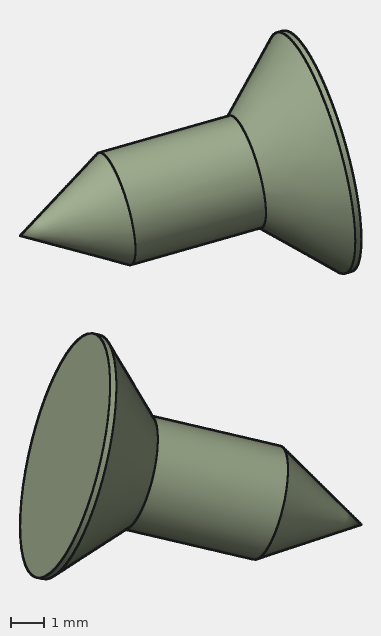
import cadquery as cq
import math


head_diameter = 7.5
shank_diameter = 3.5
overall_length = 9.5
head_height = 2.3
rim_thickness = 0.2
point_angle = 60.0

head_radius = head_diameter / 2
shank_radius = shank_diameter / 2
point_length = shank_radius / math.tan(math.radians(point_angle / 2))


def half_profile():
    """Closed half section in the XY plane, with one edge on the Y axis."""
    return (
        cq.Workplane("XY")
        .moveTo(0, 0)
        .lineTo(head_radius, 0)
        .lineTo(head_radius, -rim_thickness)
        .lineTo(shank_radius, -head_height)
        .lineTo(shank_radius, point_length - overall_length)
        .lineTo(0, -overall_length)
        .close()
    )


result = half_profile().revolve(360, (0, 0, 0), (0, 1, 0))